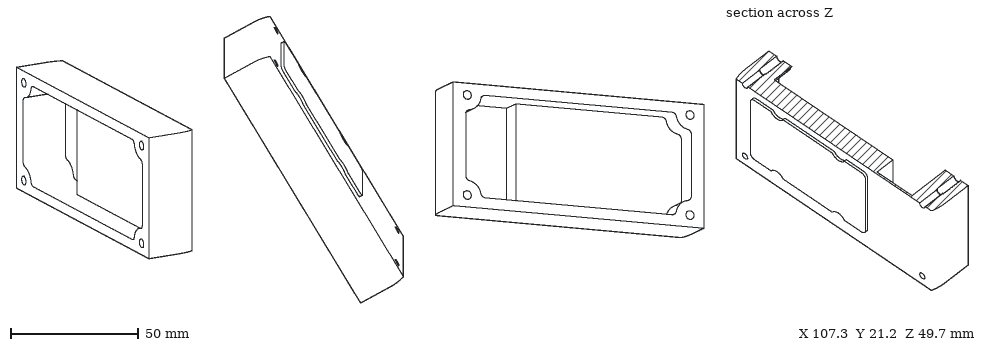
import cadquery as cq

length = 107.3
height = 49.7
total_depth = 21.2
plate_thickness = 1.2
body_depth = total_depth - plate_thickness

end_curve_depth = 6.4
end_inset = 1.1
back_edge_radius = 0.4
end_radius = (end_curve_depth**2 + end_inset**2) / (2 * end_inset)

cavity_length = 96.6
cavity_height = 41.1
shallow_depth = 10.0
deep_depth = 19.0
step_x = -22.5

screw_x = 47.6
screw_z = 20.1
post_radius = 5.9
post_blend_radius = 2.0
screw_entry_diameter = 3.4
screw_entry_depth = 10.0
screw_hole_diameter = 2.8

plate_left = -18.2
plate_right = 43.7
plate_height = 33.5
plate_corner_radius = 2.3
notch_diameter = 7.5
notch_positions = (-3.6, 29.3)
notch_center_outset = 1.9
notch_edge_radius = 0.3

screw_points = [(x, z) for x in (-screw_x, screw_x) for z in (-screw_z, screw_z)]


def front_plane(y):
    """Sketch plane at depth y with sketch axes X and Z; it extrudes towards the front (-Y)."""
    return cq.Workplane("XZ", origin=(0, y, 0))


def make_body():
    half = length / 2
    curve_start = body_depth - end_curve_depth
    mid_y = curve_start + end_curve_depth / 2
    mid_x = half - end_radius + (end_radius**2 - (end_curve_depth / 2) ** 2) ** 0.5
    back_x = half - end_inset
    return (
        cq.Workplane("XY")
        .moveTo(-half, 0)
        .lineTo(half, 0)
        .lineTo(half, curve_start)
        .threePointArc((mid_x, mid_y), (back_x, body_depth))
        .lineTo(-back_x, body_depth)
        .threePointArc((-mid_x, mid_y), (-half, curve_start))
        .close()
        .extrude(height / 2, both=True)
        .faces(">Y")
        .edges("|Z")
        .fillet(back_edge_radius)
    )


def make_cavity():
    cavity = front_plane(deep_depth).rect(cavity_length, cavity_height).extrude(deep_depth)
    posts = front_plane(deep_depth).pushPoints(screw_points).circle(post_radius).extrude(deep_depth)
    cavity = cavity.cut(posts).edges("|Y").fillet(post_blend_radius)
    step_length = cavity_length / 2 - step_x
    step = (
        front_plane(deep_depth)
        .center(step_x + step_length / 2, 0)
        .rect(step_length, cavity_height)
        .extrude(deep_depth - shallow_depth)
    )
    return cavity.cut(step)


def make_screw_holes():
    through = (
        front_plane(body_depth)
        .pushPoints(screw_points)
        .circle(screw_hole_diameter / 2)
        .extrude(body_depth)
    )
    entry = (
        front_plane(screw_entry_depth)
        .pushPoints(screw_points)
        .circle(screw_entry_diameter / 2)
        .extrude(screw_entry_depth)
    )
    return through.union(entry)


def make_plate():
    plate = (
        front_plane(total_depth)
        .center((plate_left + plate_right) / 2, 0)
        .rect(plate_right - plate_left, plate_height)
        .extrude(plate_thickness)
        .edges("|Y")
        .fillet(plate_corner_radius)
    )
    notch_z = plate_height / 2 + notch_center_outset
    notches = (
        front_plane(total_depth)
        .pushPoints([(x, z) for x in notch_positions for z in (-notch_z, notch_z)])
        .circle(notch_diameter / 2)
        .extrude(plate_thickness)
    )
    first_mouth = notch_positions[0] - notch_diameter / 2
    last_mouth = notch_positions[-1] + notch_diameter / 2
    mouth_zone = cq.selectors.BoxSelector(
        (first_mouth, body_depth, -plate_height), (last_mouth, total_depth, plate_height)
    )
    return plate.cut(notches).edges("|Y").edges(mouth_zone).fillet(notch_edge_radius)


result = make_body().cut(make_cavity()).cut(make_screw_holes()).union(make_plate())